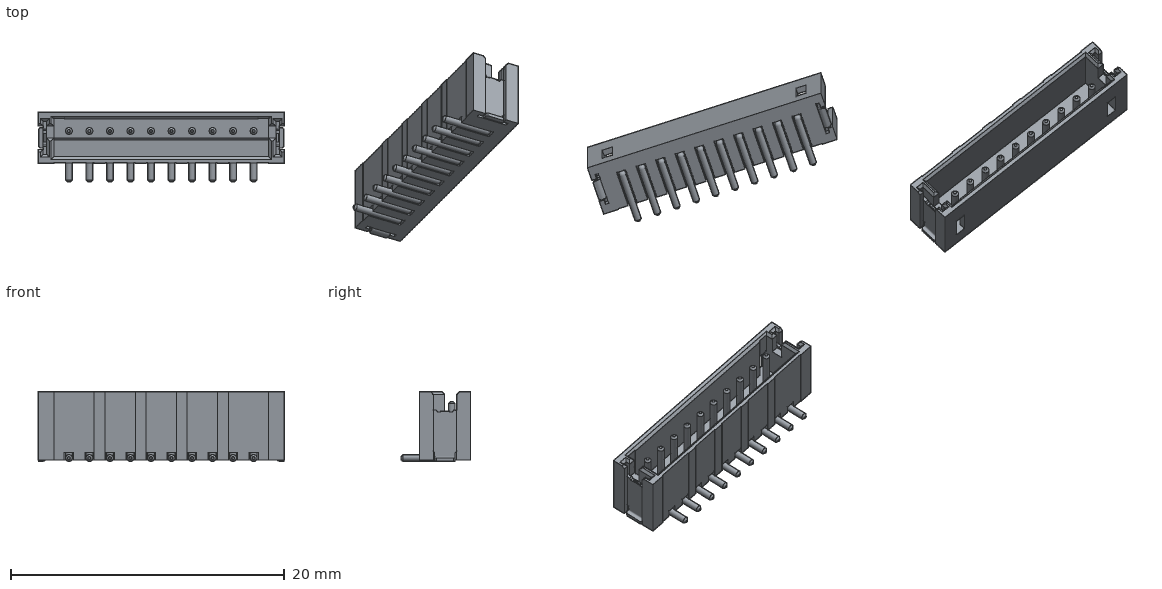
import cadquery as cq


length = 18.0
depth = 3.75
standoff = 0.1
height = 5.0
lead_in = 0.2
bottom = standoff
top = bottom + height
back = depth / 2
front = -depth / 2
end = length / 2

end_wall = 1.15
long_wall = 0.5
cavity_end = end - end_wall
cavity_back = back - long_wall
cavity_front = front + long_wall
floor_thickness = 1.2
upper_floor = bottom + floor_thickness
step_drop = 0.17
lower_floor = upper_floor - step_drop
step_y = 0.0

pad_height = 0.05
end_pad_width = 1.15
rib_width = 0.8
rib_pitch = 3.0
rib_count = 4

relief_width = 0.78
relief_depth = 0.05
window_drop = 1.87

recess_half_width = 0.85
notch_front = -0.02
notch_drop = 1.54

tab_inset = 0.37
tab_thickness = 0.25
tab_half_width = 1.2
tab_drop = 1.35
tab_dip_drop = 1.49
tab_center_drop = 1.4
tab_center_half_width = 0.32
tab_dip_outer = 0.54
tab_dip_run = 0.1
tab_crown_chamfer = 0.06
tab_shoulder_z = 0.75
foot_half_width = 0.75
foot_corner = 0.12
foot_tip_inset = 0.03
foot_tip = end - foot_tip_inset
bend_inner_radius = 0.1
bend_outer_radius = bend_inner_radius + tab_thickness
tab_outer_x = end - tab_inset
tab_inner_x = tab_outer_x - tab_thickness

pin_count = 10
pin_pitch = 1.5
pin_diameter = 0.5
pin_tip_chamfer = 0.15
pin_y = 0.5
pin_drop = 0.73
pin_top = top - pin_drop
lead_z = pin_diameter / 2
lead_length = 1.35
channel_width = 0.68
channel_height = 0.55


def box(x0, x1, y0, y1, z0, z1):
    return cq.Workplane("XY").box(x1 - x0, y1 - y0, z1 - z0, centered=False).translate((x0, y0, z0))


def both_ends(feature):
    return feature.union(feature.mirror("YZ"))


def flared_box(x0, x1, y0, y1, z0):
    """Box cutter open at the rim, widening at 45 degrees over the lead-in height."""
    flare_start = top - lead_in
    size_x = x1 - x0
    size_y = y1 - y0
    flare = (
        cq.Workplane("XY", origin=((x0 + x1) / 2, (y0 + y1) / 2, flare_start))
        .rect(size_x, size_y)
        .workplane(offset=lead_in)
        .rect(size_x + 2 * lead_in, size_y + 2 * lead_in)
        .loft(ruled=True)
    )
    return box(x0, x1, y0, y1, z0, flare_start).union(flare)


def notch_cutter(x0, x1, y0, y1, z0):
    """Cutter along X whose two Y sides flare at 45 degrees at the rim."""
    profile = [
        (y0, z0),
        (y1, z0),
        (y1, top - lead_in),
        (y1 + lead_in, top),
        (y0 - lead_in, top),
        (y0, top - lead_in),
    ]
    return cq.Workplane("YZ").polyline(profile).close().extrude(x1 - x0).translate((x0, 0, 0))


def housing_block():
    block = box(-end, end, front + pad_height, back, bottom, top)
    pad_back = front + pad_height
    block = block.union(both_ends(box(end - end_pad_width, end, front, pad_back, bottom, top)))
    for i in range(rib_count):
        x = (i - (rib_count - 1) / 2) * rib_pitch
        block = block.union(box(x - rib_width / 2, x + rib_width / 2, front, pad_back, bottom, top))
    return block


def cavity():
    shape = flared_box(-cavity_end, cavity_end, cavity_front, cavity_back, upper_floor)
    lower_profile = [
        (cavity_front, lower_floor),
        (step_y - step_drop, lower_floor),
        (step_y, upper_floor),
        (cavity_front, upper_floor),
    ]
    lower = cq.Workplane("YZ").polyline(lower_profile).close().extrude(cavity_end, both=True)
    return shape.union(lower)


def back_wall_openings():
    x0 = cavity_end - relief_width
    relief = box(x0, cavity_end, cavity_back, cavity_back + relief_depth, upper_floor, top)
    window_top = top - window_drop
    window = box(x0, cavity_end, cavity_back, back, upper_floor, window_top)
    return both_ends(relief.union(window))


def end_openings():
    slot = flared_box(tab_inner_x, tab_outer_x, -tab_half_width, tab_half_width, bottom)
    recess = notch_cutter(tab_outer_x, end, -recess_half_width, recess_half_width, bottom)
    notch = notch_cutter(cavity_end, tab_inner_x, notch_front, recess_half_width, top - notch_drop)
    return both_ends(slot.union(recess).union(notch))


def solder_tab():
    dip_z = top - tab_dip_drop
    center_z = top - tab_center_drop
    shoulder_z = top - tab_drop
    half_outline = [
        (foot_half_width, bend_outer_radius),
        (foot_half_width, tab_shoulder_z - foot_corner),
        (foot_half_width + foot_corner, tab_shoulder_z),
        (tab_half_width, tab_shoulder_z),
        (tab_half_width, shoulder_z),
        (tab_dip_outer + tab_dip_run, shoulder_z),
        (tab_dip_outer, dip_z),
        (tab_center_half_width, dip_z),
        (tab_center_half_width, center_z),
    ]
    outline = half_outline + [(-y, z) for y, z in reversed(half_outline)]
    plate = cq.Workplane("YZ").polyline(outline).close().extrude(tab_thickness)
    plate = plate.translate((tab_inner_x, 0, 0))
    crown = cq.selectors.BoxSelector(
        (0, -tab_center_half_width, center_z - tab_crown_chamfer / 2),
        (end, tab_center_half_width, center_z + tab_crown_chamfer / 2),
    )
    plate = plate.edges(crown).edges("|Y").chamfer(tab_crown_chamfer)

    foot = (
        cq.Workplane("XZ")
        .moveTo(tab_inner_x, bend_outer_radius)
        .radiusArc((tab_inner_x + bend_outer_radius, 0), -bend_outer_radius)
        .lineTo(foot_tip, 0)
        .lineTo(foot_tip, tab_thickness)
        .lineTo(tab_outer_x + bend_inner_radius, tab_thickness)
        .radiusArc((tab_outer_x, bend_outer_radius), bend_inner_radius)
        .close()
        .extrude(foot_half_width, both=True)
    )
    foot = foot.edges("|Z and >X").chamfer(foot_corner)
    return plate.union(foot)


def pin(x):
    radius = pin_diameter / 2
    post = cq.Workplane("XY").circle(radius).extrude(pin_top - lead_z)
    post = post.faces(">Z").chamfer(pin_tip_chamfer)
    post = post.translate((x, pin_y, lead_z))
    lead = cq.Workplane("XZ").circle(radius).extrude(pin_y - front + lead_length)
    lead = lead.faces("<Y").chamfer(pin_tip_chamfer)
    lead = lead.translate((x, pin_y, lead_z))
    elbow = cq.Workplane("XY").sphere(radius).translate((x, pin_y, lead_z))
    return post.union(lead).union(elbow)


def lead_channel(x):
    half = channel_width / 2
    return box(x - half, x + half, front, pin_y + half, bottom, bottom + channel_height)


pin_positions = [(i - (pin_count - 1) / 2) * pin_pitch for i in range(pin_count)]

result = housing_block().cut(cavity()).cut(back_wall_openings()).cut(end_openings())
for pin_x in pin_positions:
    result = result.cut(lead_channel(pin_x)).union(pin(pin_x))
result = result.union(both_ends(solder_tab()))